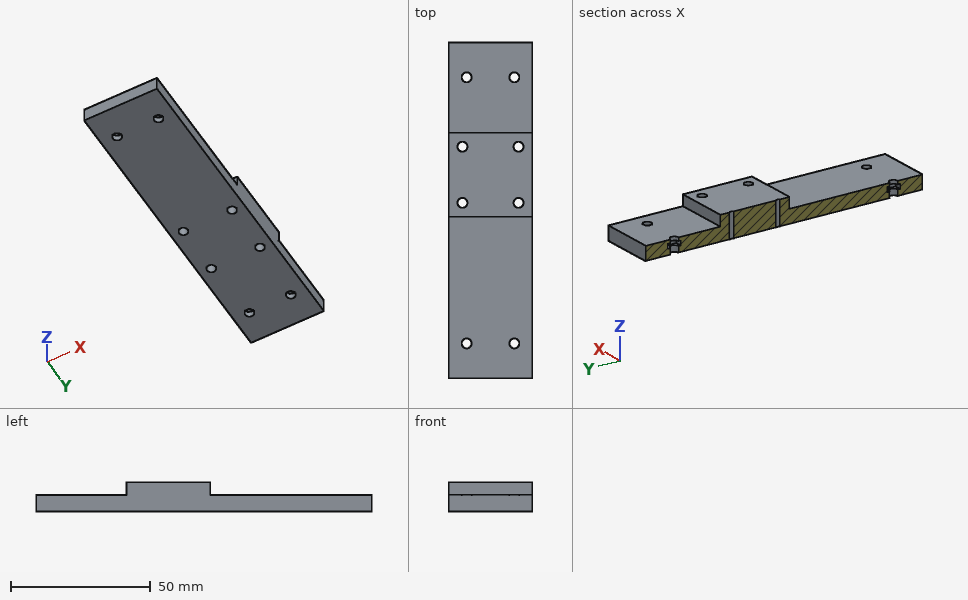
import cadquery as cq

plate_width = 30.0
plate_length = 120.0
plate_thickness = 6.0

pad_side = plate_width
pad_height = 4.5
pad_back_offset = 32.3
pad_center_y = plate_length / 2 - pad_back_offset - pad_side / 2

hole_diameter = 3.5
end_hole_spacing = 17.0
end_hole_inset = 12.5
end_hole_pitch = plate_length - 2 * end_hole_inset
pad_hole_spacing = 20.0

nut_side = 5.5
nut_roof_thickness = 1.5
nut_pocket_height = 1.8
nut_pocket_floor_z = plate_thickness - nut_roof_thickness - nut_pocket_height

total_height = plate_thickness + pad_height


def block(length, height, center_y, bottom_z):
    """Full-width block standing on the given height."""
    return (
        cq.Workplane("XY", origin=(0, center_y, bottom_z))
        .box(plate_width, length, height, centered=(True, True, False))
    )


def four_holes(spacing_x, spacing_y, center_y):
    """Rectangular pattern of vertical cutters through the whole part."""
    return (
        cq.Workplane("XY", origin=(0, center_y, 0))
        .rect(spacing_x, spacing_y, forConstruction=True)
        .vertices()
        .circle(hole_diameter / 2)
        .extrude(total_height)
    )


def end_nut_pockets():
    """Square cavity around each end hole, inside the plate thickness."""
    return (
        cq.Workplane("XY", origin=(0, 0, nut_pocket_floor_z))
        .rect(end_hole_spacing, end_hole_pitch, forConstruction=True)
        .vertices()
        .rect(nut_side, nut_side)
        .extrude(nut_pocket_height)
    )


plate = block(plate_length, plate_thickness, 0, 0)
pad = block(pad_side, pad_height, pad_center_y, plate_thickness)

result = (
    plate.union(pad)
    .cut(four_holes(end_hole_spacing, end_hole_pitch, 0))
    .cut(four_holes(pad_hole_spacing, pad_hole_spacing, pad_center_y))
    .cut(end_nut_pockets())
)